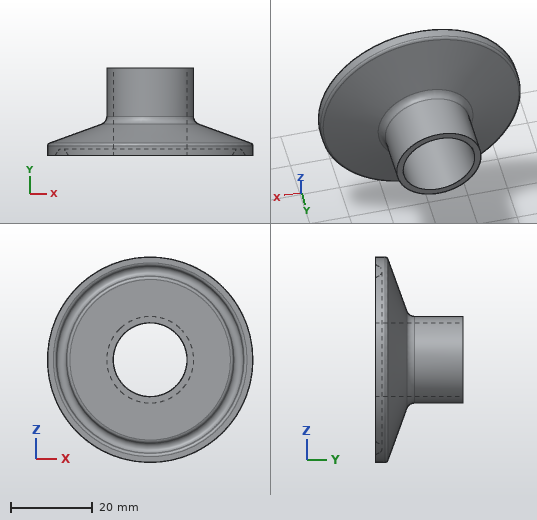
import cadquery as cq
import math

flange_radius = 25.25
length = 21.5
tube_radius = 10.65
bore_radius = 9.05

rim_height = 2.9
back_angle = math.radians(20)
rim_fillet = 0.75
neck_fillet = 2.0

groove_radius = 21.75
groove_depth = 1.6
groove_floor_radius = 1.25
groove_lip_radius = 0.8
flank_angle = math.radians(20)


def revolve_about_axis(profile):
    """Turn a closed half profile around the Y axis."""
    return profile.close().revolve(360, (0, 0, 0), (0, 1, 0))


def ring_at(height):
    """Select the circular edge lying in the plane y = height."""
    tolerance = 0.005
    reach = 2 * flange_radius
    return cq.selectors.BoxSelector(
        (-reach, height - tolerance, -reach),
        (reach, height + tolerance, reach),
        boundingbox=True,
    )


def ferrule_body():
    """Bored flange, cone and tube; front face at y = 0, tube toward +Y."""
    cone_top = rim_height + (flange_radius - tube_radius) * math.tan(back_angle)
    body = revolve_about_axis(
        cq.Workplane("XY")
        .moveTo(bore_radius, 0)
        .lineTo(flange_radius, 0)
        .lineTo(flange_radius, rim_height)
        .lineTo(tube_radius, cone_top)
        .lineTo(tube_radius, length)
        .lineTo(bore_radius, length)
    )
    body = body.edges(ring_at(rim_height)).fillet(rim_fillet)
    return body.edges(ring_at(cone_top)).fillet(neck_fillet)


def gasket_groove():
    """Ring with a round floor, short sloping flanks and rounded lips."""
    floor_half = groove_floor_radius * math.cos(flank_angle)
    floor_top = groove_depth - groove_floor_radius * (1 - math.sin(flank_angle))

    lip_bottom = groove_lip_radius * (1 - math.sin(flank_angle))
    lip_half = floor_half + (floor_top - lip_bottom) * math.tan(flank_angle)

    mouth_half = lip_half + groove_lip_radius * math.cos(flank_angle)
    middle_angle = (math.pi / 2 + flank_angle) / 2
    lip_middle_half = mouth_half - groove_lip_radius * math.cos(middle_angle)
    lip_middle = groove_lip_radius * (1 - math.sin(middle_angle))

    def inner(half_width, height):
        return (groove_radius - half_width, height)

    def outer(half_width, height):
        return (groove_radius + half_width, height)

    return revolve_about_axis(
        cq.Workplane("XY")
        .moveTo(*inner(mouth_half, 0))
        .threePointArc(inner(lip_middle_half, lip_middle), inner(lip_half, lip_bottom))
        .lineTo(*inner(floor_half, floor_top))
        .threePointArc((groove_radius, groove_depth), outer(floor_half, floor_top))
        .lineTo(*outer(lip_half, lip_bottom))
        .threePointArc(outer(lip_middle_half, lip_middle), outer(mouth_half, 0))
    )


result = ferrule_body().cut(gasket_groove())